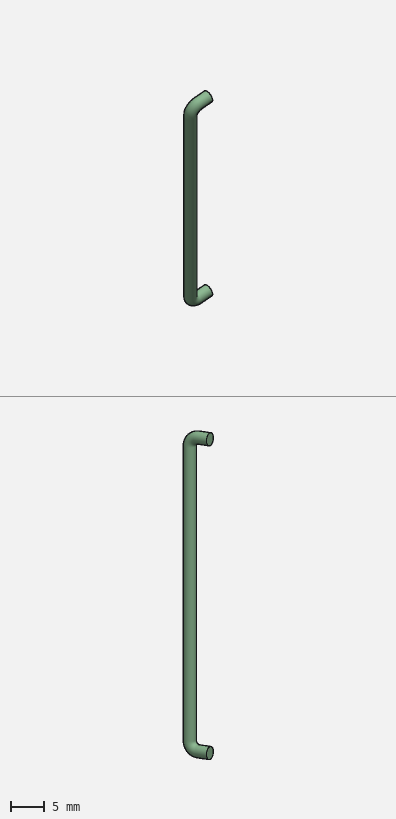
import cadquery as cq
import math

height = 50.0
depth = 4.5
bar_diameter = 2.0
bend_radius = 1.5

bar_radius = bar_diameter / 2
leg_z = height / 2 - bar_radius
grip_half_length = leg_z - bend_radius
leg_end_y = depth - bar_radius
bend_middle_y = bend_radius * (1 - math.cos(math.radians(45)))
bend_middle_z = grip_half_length + bend_radius * math.sin(math.radians(45))

centreline = (
    cq.Workplane("YZ")
    .moveTo(leg_end_y, -leg_z)
    .lineTo(bend_radius, -leg_z)
    .threePointArc((bend_middle_y, -bend_middle_z), (0, -grip_half_length))
    .lineTo(0, grip_half_length)
    .threePointArc((bend_middle_y, bend_middle_z), (bend_radius, leg_z))
    .lineTo(leg_end_y, leg_z)
)

result = (
    cq.Workplane("XZ", origin=(0, leg_end_y, -leg_z))
    .circle(bar_radius)
    .sweep(centreline)
)